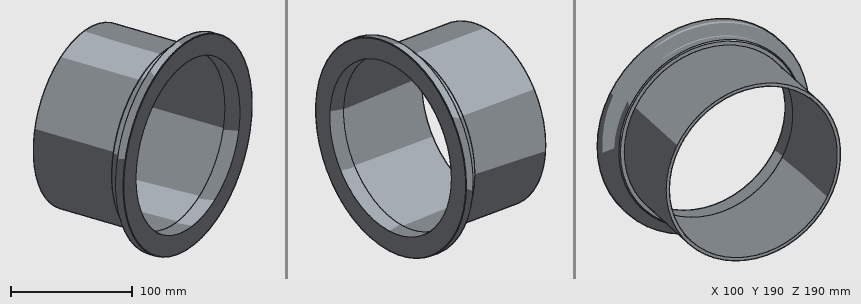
import cadquery as cq
import math

overall_length = 100.0

bore_diameter = 153.0
tube_outer_diameter = 159.0
tube_end_gap = 15.0

flange_diameter = 190.0
collar_diameter = 168.0
flange_length = 20.0
collar_chamfer = 1.0
cone_angle = 20.0
cone_root_setback = 12.2
cone_root_fillet = 1.0
flange_rim_fillet = 2.0
face_edge_chamfer = 0.5

bore_radius = bore_diameter / 2
tube_radius = tube_outer_diameter / 2
collar_radius = collar_diameter / 2
flange_radius = flange_diameter / 2

cone_height = flange_radius - collar_radius
cone_run = cone_height * math.tan(math.radians(cone_angle))
cone_tip_setback = cone_root_setback - cone_run


def revolve_about_x(profile):
    """Turn a closed profile in the XY plane into a ring around the X axis."""
    return profile.close().revolve(360, (0, 0, 0), (1, 0, 0))


def make_tube():
    """Thin straight tube that ends on the shoulder inside the flange."""
    return revolve_about_x(
        cq.Workplane("XY")
        .moveTo(-overall_length, bore_radius)
        .lineTo(-tube_end_gap, bore_radius)
        .lineTo(-tube_end_gap, tube_radius)
        .lineTo(-overall_length, tube_radius)
    )


def make_flange():
    """Collar with a conical back flange; a socket holds the tube and a lip closes flush with its bore."""
    turn = math.radians(90 - cone_angle)
    half_turn = turn / 2

    def tangent_length(radius):
        return radius * math.tan(half_turn)

    def on_fillet(center_x, center_radius, radius, angle):
        return center_x - radius * math.sin(angle), center_radius + radius * math.cos(angle)

    root_start_x = -cone_root_setback - tangent_length(cone_root_fillet)
    root_center_radius = collar_radius + cone_root_fillet
    root_middle = on_fillet(root_start_x, root_center_radius, -cone_root_fillet, half_turn)
    root_end = on_fillet(root_start_x, root_center_radius, -cone_root_fillet, turn)

    rim_end_x = -cone_tip_setback + tangent_length(flange_rim_fillet)
    rim_center_radius = flange_radius - flange_rim_fillet
    rim_start = on_fillet(rim_end_x, rim_center_radius, flange_rim_fillet, turn)
    rim_middle = on_fillet(rim_end_x, rim_center_radius, flange_rim_fillet, half_turn)

    return revolve_about_x(
        cq.Workplane("XY")
        .moveTo(-flange_length, tube_radius)
        .lineTo(-flange_length, collar_radius - collar_chamfer)
        .lineTo(-flange_length + collar_chamfer, collar_radius)
        .lineTo(root_start_x, collar_radius)
        .threePointArc(root_middle, root_end)
        .lineTo(*rim_start)
        .threePointArc(rim_middle, (rim_end_x, flange_radius))
        .lineTo(-face_edge_chamfer, flange_radius)
        .lineTo(0, flange_radius - face_edge_chamfer)
        .lineTo(0, bore_radius)
        .lineTo(-tube_end_gap, bore_radius)
        .lineTo(-tube_end_gap, tube_radius)
    )


tube = make_tube()
flange = make_flange()

result = cq.Compound.makeCompound([tube.val(), flange.val()])